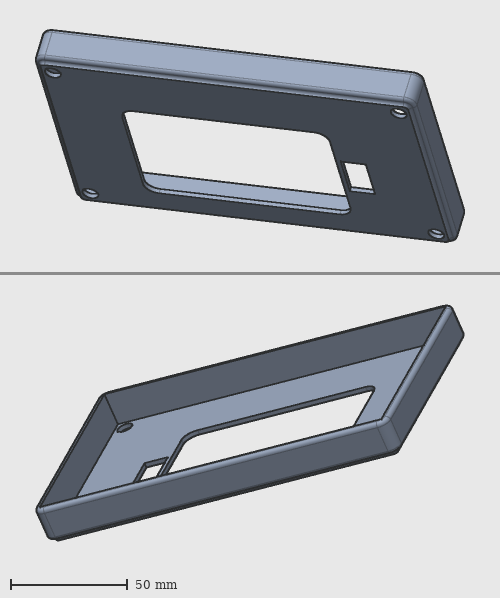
import cadquery as cq
import math

LENGTH = 171.6
WIDTH = 108.5
HEIGHT = 17.3
TILT = 55.0

WALL = 3.0
FLOOR = 2.2
CORNER_RADIUS = 5.0
RIM_FILLET = 2.0

MOULDING_RADIUS = 1.7
LIP_INSET = WALL

HOLE_DIAMETER = 7.0
HOLE_SPACING_X = 155.8
HOLE_SPACING_Y = 91.7

WINDOW_SIZE = (93.5, 62.3)
WINDOW_CENTER = (-5.1, 8.0)
WINDOW_RADIUS = 6.0
SLOT_SIZE = (11.3, 22.5)
SLOT_CENTER = (49.5, 8.8)

OVERCUT = 1.7


def rounded_block(length, width, height, radius):
    """Block standing on Z = 0 with rounded vertical edges."""
    block = cq.Workplane("XY").rect(length, width).extrude(height)
    return block.edges("|Z").fillet(radius)


def moulding_cutter():
    """Material removed around the outer bottom edge to leave the moulding."""
    radius = MOULDING_RADIUS
    join_inset = LIP_INSET / 2
    half_rise = math.sqrt(radius**2 - (radius - join_inset) ** 2)
    side_height = 2 * half_rise
    join_angle = math.asin(half_rise / radius)
    mid_run = radius * math.cos(join_angle / 2)
    mid_rise = radius * math.sin(join_angle / 2)

    edge_x = -LENGTH / 2
    profile = (
        cq.Workplane("XZ", origin=(edge_x, 0, 0))
        .moveTo(0, side_height)
        .threePointArc((radius - mid_run, side_height - mid_rise), (join_inset, half_rise))
        .threePointArc((LIP_INSET - radius + mid_run, mid_rise), (LIP_INSET, 0))
        .lineTo(LIP_INSET, -OVERCUT)
        .lineTo(-OVERCUT, -OVERCUT)
        .lineTo(-OVERCUT, side_height)
        .close()
    )
    straight_x = LENGTH / 2 - CORNER_RADIUS
    straight_y = WIDTH / 2 - CORNER_RADIUS
    diagonal = CORNER_RADIUS * math.sqrt(0.5)
    path = cq.Workplane("XY").moveTo(edge_x, 0)
    for sx, sy in ((-1, 1), (1, 1), (1, -1), (-1, -1)):
        along_x = (sx * straight_x, sy * WIDTH / 2)
        along_y = (sx * LENGTH / 2, sy * straight_y)
        middle = (sx * (straight_x + diagonal), sy * (straight_y + diagonal))
        start, end = (along_y, along_x) if sx * sy < 0 else (along_x, along_y)
        path = path.lineTo(*start).threePointArc(middle, end)
    return profile.sweep(path.close())


def tray_shell():
    outer = rounded_block(LENGTH, WIDTH, HEIGHT, CORNER_RADIUS)
    outer = outer.faces(">Z").edges().fillet(RIM_FILLET)
    cavity = (
        cq.Workplane("XY", origin=(0, 0, FLOOR))
        .rect(LENGTH - 2 * WALL, WIDTH - 2 * WALL)
        .extrude(HEIGHT)
    )
    return outer.cut(moulding_cutter()).cut(cavity)


def floor_openings():
    window = rounded_block(*WINDOW_SIZE, FLOOR, WINDOW_RADIUS).translate((*WINDOW_CENTER, 0))
    slot = cq.Workplane("XY").center(*SLOT_CENTER).rect(*SLOT_SIZE).extrude(FLOOR)
    holes = (
        cq.Workplane("XY")
        .rarray(HOLE_SPACING_X, HOLE_SPACING_Y, 2, 2)
        .circle(HOLE_DIAMETER / 2)
        .extrude(FLOOR)
    )
    return window.union(slot).union(holes)


tray = tray_shell().cut(floor_openings())
result = tray.rotate((0, 0, 0), (1, 0, 0), -TILT)